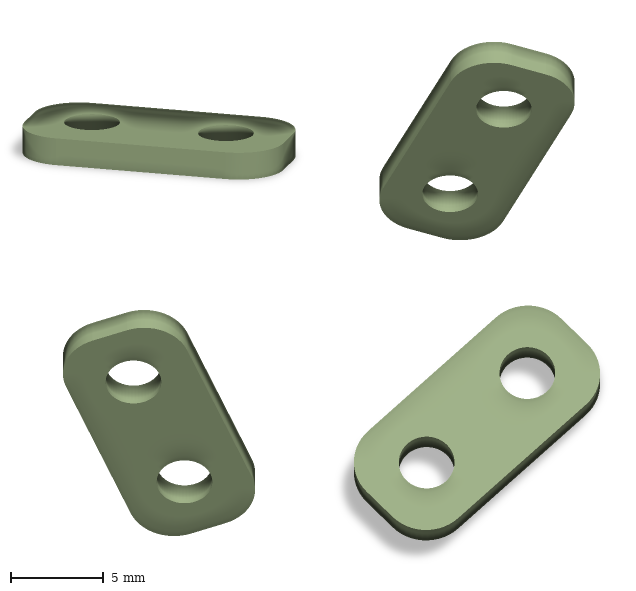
import cadquery as cq

length = 14.5
width = 7.0
thickness = 1.5
corner_radius = 2.5

hole_diameter = 3.0
hole_spacing = 7.5


def rounded_plate():
    """Flat plate with its four vertical corners rounded."""
    plate = cq.Workplane("XY").box(length, width, thickness, centered=(True, True, False))
    return plate.edges("|Z").fillet(corner_radius)


def drill_holes(plate):
    """Cut the two through holes, placed symmetrically about the centre."""
    centres = [(-hole_spacing / 2, 0), (hole_spacing / 2, 0)]
    return plate.faces(">Z").workplane(origin=(0, 0, thickness)).pushPoints(centres).hole(hole_diameter)


result = drill_holes(rounded_plate())